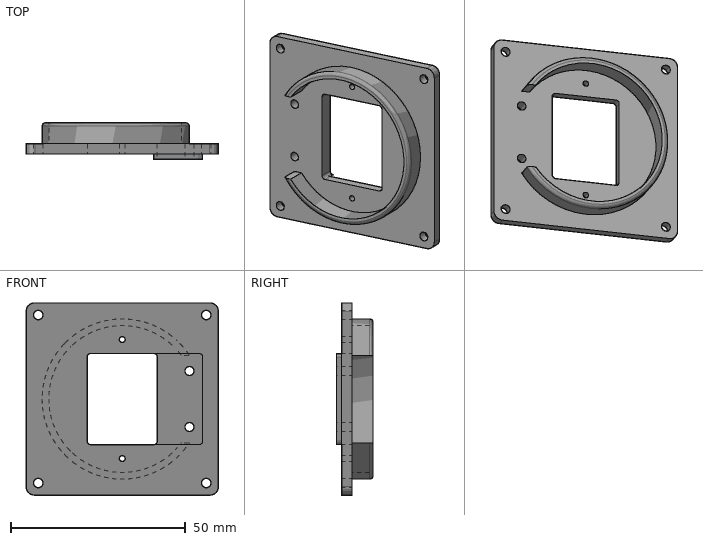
import cadquery as cq

PLATE_SIZE = 55.0
PLATE_THICKNESS = 3.0
PLATE_CORNER_RADIUS = 2.5
MOUNT_HOLE_DIAMETER = 2.6
MOUNT_HOLE_SPACING = 48.0

WINDOW_WIDTH = 20.0
WINDOW_HEIGHT = 26.0
WINDOW_CORNER_RADIUS = 1.0
PILOT_HOLE_DIAMETER = 1.6
PILOT_HOLE_SPACING = 34.0

PAD_THICKNESS = 1.5
PAD_RIGHT_X = 23.0
PAD_LEFT_X = WINDOW_WIDTH / 2 - WINDOW_CORNER_RADIUS
PAD_CORNER_RADIUS = 1.0
PAD_HOLE_DIAMETER = 2.5
PAD_HOLE_X = 19.2
PAD_HOLE_SPACING = 16.0

COLLAR_OUTER_DIAMETER = 45.8
COLLAR_INNER_DIAMETER = 42.0
COLLAR_HEIGHT = 6.0
COLLAR_RIM_FILLET = 1.0
COLLAR_GAP_HEIGHT = 25.0


def plane_at(y):
    """XZ sketch plane at depth y; extrusions go towards +Y and sketch X is reversed."""
    return cq.Workplane(cq.Plane(origin=(0, y, 0), xDir=(-1, 0, 0), normal=(0, 1, 0)))


def block(x_min, x_max, height, y_min, y_max):
    """Box centred on z = 0 between the given X and Y limits."""
    size_x = x_max - x_min
    size_y = y_max - y_min
    centre = ((x_min + x_max) / 2, (y_min + y_max) / 2, 0)
    return cq.Workplane("XY").box(size_x, size_y, height).translate(centre)


def make_plate():
    half = PLATE_SIZE / 2
    plate = block(-half, half, PLATE_SIZE, 0, PLATE_THICKNESS)
    return plate.edges("|Y").fillet(PLATE_CORNER_RADIUS)


def make_pad():
    pad = block(PAD_LEFT_X, PAD_RIGHT_X, WINDOW_HEIGHT, -PAD_THICKNESS, PLATE_THICKNESS)
    return pad.edges("|Y and >X").fillet(PAD_CORNER_RADIUS)


def make_collar():
    collar = plane_at(PLATE_THICKNESS).circle(COLLAR_OUTER_DIAMETER / 2).extrude(COLLAR_HEIGHT)
    collar = collar.faces(">Y").edges().fillet(COLLAR_RIM_FILLET)
    bore = plane_at(PLATE_THICKNESS).circle(COLLAR_INNER_DIAMETER / 2).extrude(COLLAR_HEIGHT)
    collar_back = PLATE_THICKNESS + COLLAR_HEIGHT
    gap = block(0, COLLAR_OUTER_DIAMETER, COLLAR_GAP_HEIGHT, PLATE_THICKNESS, collar_back)
    return collar.cut(bore).cut(gap)


def make_window():
    half = WINDOW_WIDTH / 2
    window = block(-half, half, WINDOW_HEIGHT, -PAD_THICKNESS, PLATE_THICKNESS)
    return window.edges("|Y").fillet(WINDOW_CORNER_RADIUS)


def make_holes(centres, diameter):
    """Cylinders through pad and plate at the given (x, z) centres."""
    depth = PAD_THICKNESS + PLATE_THICKNESS
    points = [(-x, z) for x, z in centres]
    return plane_at(-PAD_THICKNESS).pushPoints(points).circle(diameter / 2).extrude(depth)


mount_offset = MOUNT_HOLE_SPACING / 2
pilot_offset = PILOT_HOLE_SPACING / 2
pad_hole_offset = PAD_HOLE_SPACING / 2
mount_centres = [(x, z) for x in (-mount_offset, mount_offset) for z in (-mount_offset, mount_offset)]
pilot_centres = [(0, z) for z in (-pilot_offset, pilot_offset)]
pad_centres = [(PAD_HOLE_X, z) for z in (-pad_hole_offset, pad_hole_offset)]

body = make_plate().union(make_pad()).union(make_collar())
body = body.cut(make_window())
body = body.cut(make_holes(mount_centres, MOUNT_HOLE_DIAMETER))
body = body.cut(make_holes(pilot_centres, PILOT_HOLE_DIAMETER))
result = body.cut(make_holes(pad_centres, PAD_HOLE_DIAMETER))